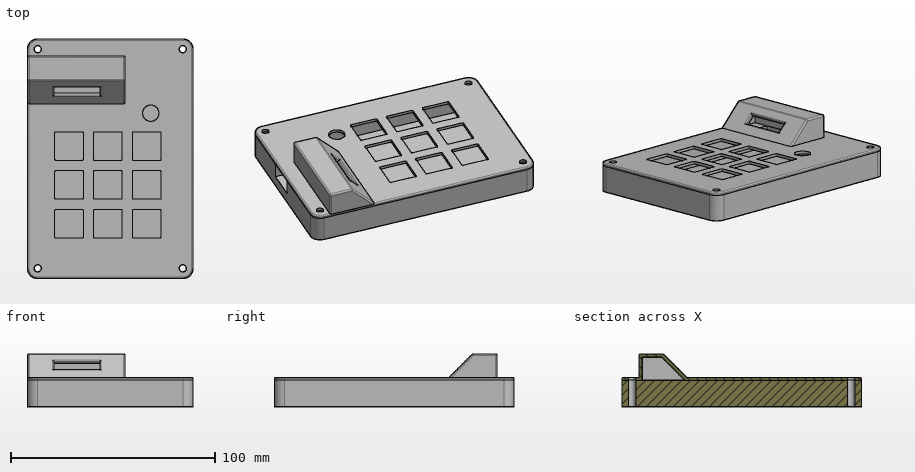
import cadquery as cq
import math

WIDTH = 81.1
LENGTH = 117.4
TOTAL_HEIGHT = 26.0
CORNER_RADIUS = 5.0
LID_THICKNESS = 1.4
LID_TOP = 14.5
BASE_HEIGHT = LID_TOP - LID_THICKNESS
LID_FILLET = 0.7

RIM = 10.0
FLOOR_THICKNESS = 2.5
CAVITY_WIDTH = WIDTH - 2 * RIM
CAVITY_LENGTH = LENGTH - 2 * RIM

NOTCH_LEFT = -5.0
NOTCH_WIDTH = 15.0
NOTCH_BOTTOM = 5.5

SCREW_HOLE_DIAMETER = 3.4
SCREW_X = WIDTH / 2 - CORNER_RADIUS
SCREW_Y = LENGTH / 2 - CORNER_RADIUS

KEYS_PER_SIDE = 3
KEY_PITCH = 19.0
KEY_SIZE = 14.0
KEY_CORNER_RADIUS = 0.5
KEYPAD_X = -1.2
KEYPAD_Y = -12.8

ROUND_HOLE_DIAMETER = 8.0
ROUND_HOLE_X = 19.8
ROUND_HOLE_Y = 22.3

HOOD_SIDE_GAP = 0.1
HOOD_LEFT = -WIDTH / 2 + HOOD_SIDE_GAP
HOOD_WIDTH = 47.8
HOOD_BACK = 50.4
HOOD_FRONT = 26.9
HOOD_WALL = 1.8
HOOD_FILLET = 0.8
SLOPE_NORMAL = (0, -1, 1)

WINDOW_WIDTH = 22.5
WINDOW_HEIGHT = 5.6
WINDOW_FILLET = 0.6
WINDOW_X = -16.3
WINDOW_Y = 32.9
WINDOW_Z = LID_TOP + WINDOW_Y - HOOD_FRONT


def screw_holes(height):
    """Four screw shafts rising from Z = 0."""
    return (
        cq.Workplane("XY")
        .rect(2 * SCREW_X, 2 * SCREW_Y, forConstruction=True)
        .vertices()
        .circle(SCREW_HOLE_DIAMETER / 2)
        .extrude(height)
    )


def rounded_slab(bottom, thickness):
    """Slab with the rounded-corner footprint of the case."""
    slab = cq.Workplane("XY", origin=(0, 0, bottom)).rect(WIDTH, LENGTH).extrude(thickness)
    return slab.edges("|Z").fillet(CORNER_RADIUS)


def make_base():
    cavity = (
        cq.Workplane("XY", origin=(0, 0, FLOOR_THICKNESS))
        .rect(CAVITY_WIDTH, CAVITY_LENGTH)
        .extrude(BASE_HEIGHT - FLOOR_THICKNESS)
    )
    notch = cq.Workplane("XY").box(NOTCH_WIDTH, RIM, BASE_HEIGHT - NOTCH_BOTTOM, centered=False)
    notch = notch.translate((NOTCH_LEFT, CAVITY_LENGTH / 2, NOTCH_BOTTOM))
    return rounded_slab(0, BASE_HEIGHT).cut(cavity).cut(notch).cut(screw_holes(BASE_HEIGHT))


def hood_wedge(inset):
    """Wedge rooted at the underside of the lid, its other faces set in by inset from the hood faces."""
    top = TOTAL_HEIGHT - inset
    back = HOOD_BACK - inset
    slope_head = HOOD_FRONT + inset * math.sqrt(2) + top - LID_TOP
    slope_root = slope_head - (top - BASE_HEIGHT)
    return (
        cq.Workplane("YZ", origin=(HOOD_LEFT + inset, 0, 0))
        .polyline([(slope_root, BASE_HEIGHT), (slope_head, top), (back, top), (back, BASE_HEIGHT)])
        .close()
        .extrude(HOOD_WIDTH - 2 * inset)
    )


def make_hood():
    """Solid hood with the window cut into its slope and the window mouth rounded over."""
    hood = hood_wedge(0).edges("not <Z").fillet(HOOD_FILLET)
    slope = cq.Plane(origin=(WINDOW_X, WINDOW_Y, WINDOW_Z), xDir=(1, 0, 0), normal=SLOPE_NORMAL)
    window = cq.Workplane(slope).rect(WINDOW_WIDTH, WINDOW_HEIGHT).extrude(-2 * HOOD_WALL)
    hood = hood.cut(window)
    slope_face = hood.faces(cq.DirectionMinMaxSelector(cq.Vector(SLOPE_NORMAL))).val()
    mouth_edges = slope_face.innerWires()[0].Edges()
    return hood.newObject(mouth_edges).fillet(WINDOW_FILLET)


def key_openings():
    return (
        cq.Workplane("XY")
        .center(KEYPAD_X, KEYPAD_Y)
        .rarray(KEY_PITCH, KEY_PITCH, KEYS_PER_SIDE, KEYS_PER_SIDE)
        .rect(KEY_SIZE, KEY_SIZE)
        .extrude(LID_TOP)
        .edges("|Z")
        .fillet(KEY_CORNER_RADIUS)
    )


def round_opening():
    return (
        cq.Workplane("XY")
        .center(ROUND_HOLE_X, ROUND_HOLE_Y)
        .circle(ROUND_HOLE_DIAMETER / 2)
        .extrude(LID_TOP)
    )


def make_lid():
    plate = rounded_slab(BASE_HEIGHT, LID_THICKNESS).faces(">Z").edges().fillet(LID_FILLET)
    lid = plate.union(make_hood()).cut(hood_wedge(HOOD_WALL))
    return lid.cut(screw_holes(LID_TOP)).cut(round_opening()).cut(key_openings())


base = make_base()
lid = make_lid()
result = cq.Compound.makeCompound([base.solids().val(), lid.solids().val()])